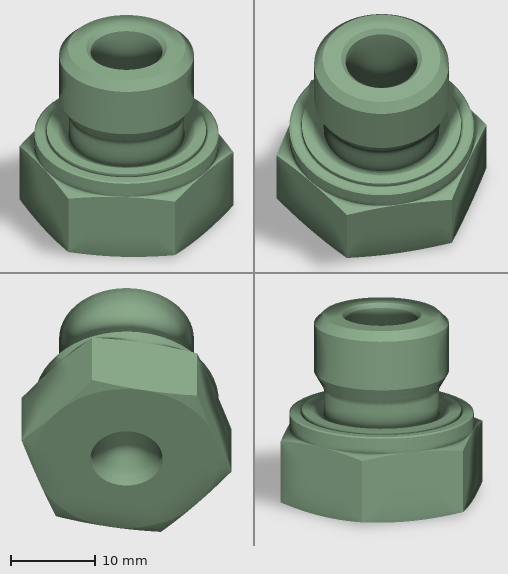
import cadquery as cq
import math

hex_corner_diameter = 25.4
hex_flat_width = hex_corner_diameter * math.cos(math.radians(30))
hex_height = 8.5
hex_chamfer_angle = 15.0

collar_diameter = 21.9
collar_top = 10.5
collar_chamfer_width = 0.23
groove_diameter = 19.0
groove_mouth_width = 0.23
rim_chamfer_angle = 30.0

total_height = 22.5
spigot_diameter = 16.0
spigot_chamfer = 1.02
spigot_bottom = 15.47
neck_diameter = 13.7
neck_fillet = 1.02
neck_cone_angle = 30.0

bore_diameter = 8.55
bore_chamfer = 0.5

seal_diameter = 18.9
seal_inner_diameter = 13.8
seal_height = 1.5
seal_top = 10.75
seal_mouth_diameter = 16.2
seal_mouth_angle = 25.0
seal_bottom = seal_top - seal_height


def rise(run, angle):
    """Height of a slope that covers the given run at the given angle from horizontal."""
    return run * math.tan(math.radians(angle))


def revolved(profile):
    """Turn a closed (radius, height) profile around the Z axis."""
    return profile.close().revolve(360, (0, 0, 0), (0, 1, 0))


def make_hexagon():
    """Hexagonal prism with corners on the Y axis and conically chamfered ends."""
    prism = cq.Workplane("XY").polygon(6, hex_corner_diameter).extrude(hex_height)
    prism = prism.rotate((0, 0, 0), (0, 0, 1), 90)
    face_radius = hex_flat_width / 2
    corner_radius = hex_corner_diameter / 2
    drop = rise(corner_radius - face_radius, hex_chamfer_angle)
    envelope_radius = 2 * corner_radius - face_radius
    envelope = revolved(
        cq.Workplane("XZ")
        .moveTo(0, 0)
        .lineTo(face_radius, 0)
        .lineTo(envelope_radius, 2 * drop)
        .lineTo(envelope_radius, hex_height - 2 * drop)
        .lineTo(face_radius, hex_height)
        .lineTo(0, hex_height)
    )
    return prism.intersect(envelope)


def make_collar():
    """Round collar on the hexagon, with a chamfered rim and an open seal groove."""
    outer_radius = collar_diameter / 2
    groove_radius = groove_diameter / 2
    rim_drop = rise(collar_chamfer_width, rim_chamfer_angle)
    mouth_drop = rise(groove_mouth_width, rim_chamfer_angle)
    return revolved(
        cq.Workplane("XZ")
        .moveTo(0, hex_height)
        .lineTo(outer_radius, hex_height)
        .lineTo(outer_radius, collar_top - rim_drop)
        .lineTo(outer_radius - collar_chamfer_width, collar_top)
        .lineTo(groove_radius + groove_mouth_width, collar_top)
        .lineTo(groove_radius, collar_top - mouth_drop)
        .lineTo(groove_radius, seal_bottom)
        .lineTo(0, seal_bottom)
    )


def make_spigot():
    """Neck, filleted cone and chamfered thread cylinder above the groove floor."""
    radius = spigot_diameter / 2
    neck_radius = neck_diameter / 2
    slant = math.radians(neck_cone_angle)

    fillet_top_radius = neck_radius + neck_fillet * (1 - math.cos(slant))
    fillet_top = spigot_bottom - (radius - fillet_top_radius) / math.tan(slant)
    fillet_bottom = fillet_top - neck_fillet * math.sin(slant)
    fillet_mid_radius = neck_radius + neck_fillet * (1 - math.cos(slant / 2))
    fillet_mid = fillet_bottom + neck_fillet * math.sin(slant / 2)

    return revolved(
        cq.Workplane("XZ")
        .moveTo(0, seal_bottom)
        .lineTo(neck_radius, seal_bottom)
        .lineTo(neck_radius, fillet_bottom)
        .threePointArc((fillet_mid_radius, fillet_mid), (fillet_top_radius, fillet_top))
        .lineTo(radius, spigot_bottom)
        .lineTo(radius, total_height - spigot_chamfer)
        .lineTo(radius - spigot_chamfer, total_height)
        .lineTo(0, total_height)
    )


def make_bore():
    """Through bore, chamfered at the spigot end."""
    radius = bore_diameter / 2
    return revolved(
        cq.Workplane("XZ")
        .moveTo(0, 0)
        .lineTo(radius, 0)
        .lineTo(radius, total_height - bore_chamfer)
        .lineTo(radius + bore_chamfer, total_height)
        .lineTo(0, total_height)
    )


def make_housing():
    """Screw-in fitting: hexagon, collar and spigot in one piece."""
    return make_hexagon().union(make_collar()).union(make_spigot()).cut(make_bore()).solids()


def make_seal():
    """Seal ring seated in the groove, with a conical mouth narrowing to a clearance around the neck."""
    outer_radius = seal_diameter / 2
    inner_radius = seal_inner_diameter / 2
    mouth_radius = seal_mouth_diameter / 2
    mouth_drop = rise(mouth_radius - inner_radius, seal_mouth_angle)
    return revolved(
        cq.Workplane("XZ")
        .moveTo(inner_radius, seal_bottom)
        .lineTo(outer_radius, seal_bottom)
        .lineTo(outer_radius, seal_top)
        .lineTo(mouth_radius, seal_top)
        .lineTo(inner_radius, seal_top - mouth_drop)
    )


housing = make_housing()
seal = make_seal()

result = cq.Compound.makeCompound([housing.val(), seal.val()])